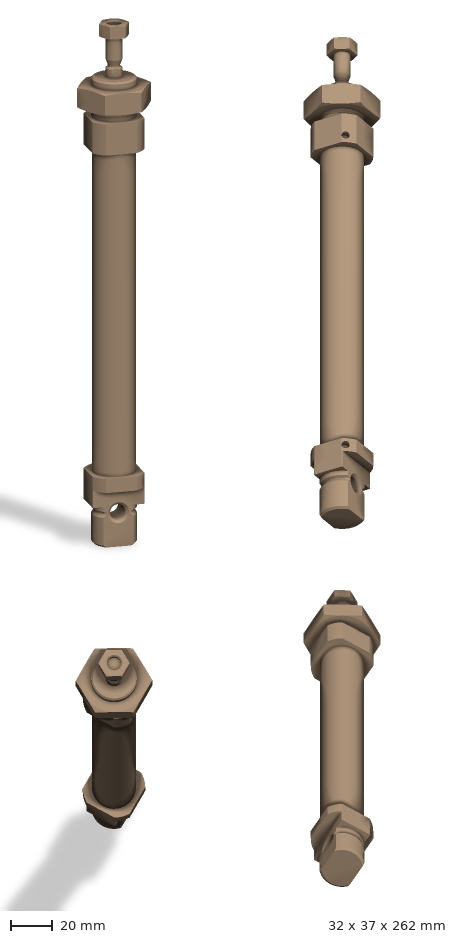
import cadquery as cq
import math

TOP_Z = 262.0
EYE_SHOULDER_Z = 29.0
CAP_TOP_Z = 36.1
HEAD_BOTTOM_Z = 199.3
HEAD_TOP_Z = 215.0
COLLAR_TOP_Z = 235.0

CAP_ACROSS_FLATS = 26.0
CAP_CORNER_DIA = 30.0
CAP_BOTTOM_Z = 20.5
BARREL_DIA = 21.2

THREAD_DIA = 22.0
THREAD_CHAMFER = 0.8
STUB_CHAMFER = 1.0
UNDERCUT_DIA = 20.0
UNDERCUT_FLOOR_HEIGHT = 0.3
UNDERCUT_SHORT_TAPER = 0.3
UNDERCUT_LONG_TAPER = 0.6
STUB_UNDERCUT_Z = 18.0
HEAD_UNDERCUT_Z = 217.7

EYE_THICKNESS = 16.0
EYE_HOLE_DIA = 7.9
EYE_HOLE_Z = 17.0
EYE_HOLE_CHAMFER = 1.3

POCKET_DIA = 4.0
POCKET_DEPTH = 4.0
POCKET_ANGLE = 128.0
HEAD_POCKET_Z = 203.3

MOUNTING_NUT_ACROSS_FLATS = 32.0
MOUNTING_NUT_HEIGHT = 11.0
MOUNTING_NUT_BOTTOM_Z = 220.0

ROD_NUT_ACROSS_FLATS = 13.0
ROD_NUT_HEIGHT = 6.5
ROD_NUT_COUNTERSINK = 0.65

ROD_DIA = 8.0
ROD_FLATS_WIDTH = 7.0
ROD_FLATS_BOTTOM_Z = 236.8
ROD_SHOULDER_Z = 239.5
ROD_NECK_DIA = 6.0
ROD_NECK_BOTTOM_Z = 240.2
ROD_NECK_TOP_Z = 241.0
ROD_THREAD_BOTTOM_Z = 243.9
ROD_TIP_DIA = 6.8
ROD_TIP_RECESS = 2.5

NUT_CHAMFER_ANGLE = math.radians(15)


def cylinder(diameter, bottom, top):
    return cq.Workplane("XY").workplane(offset=bottom).circle(diameter / 2).extrude(top - bottom)


def hex_nut(across_flats, bottom, height, bore):
    """Hexagonal nut with corners on the Y axis, chamfered at both ends."""
    across_corners = across_flats / math.cos(math.pi / 6)
    corner_radius = across_corners / 2
    drop = (corner_radius - across_flats / 2) * math.tan(NUT_CHAMFER_ANGLE)
    prism = (
        cq.Workplane("XY")
        .workplane(offset=bottom)
        .transformed(rotate=(0, 0, 90))
        .polygon(6, across_corners)
        .circle(bore / 2)
        .extrude(height)
    )
    top = bottom + height
    envelope = (
        cq.Workplane("XZ")
        .moveTo(0, bottom)
        .lineTo(across_flats / 2, bottom)
        .lineTo(corner_radius, bottom + drop)
        .lineTo(corner_radius, top - drop)
        .lineTo(across_flats / 2, top)
        .lineTo(0, top)
        .close()
        .revolve(360, (0, 0, 0), (0, 1, 0))
    )
    return prism.intersect(envelope)


def cap_block(bottom, top):
    """Square block whose corners are rounded to one cylinder about the axis."""
    height = top - bottom
    square = (
        cq.Workplane("XY").workplane(offset=bottom).rect(CAP_ACROSS_FLATS, CAP_ACROSS_FLATS).extrude(height)
    )
    return square.intersect(cylinder(CAP_CORNER_DIA, bottom, top))


def undercut(rim, direction):
    """Ring groove in a thread, running from its short taper up (direction 1) or down (-1)."""
    floor_radius = UNDERCUT_DIA / 2
    rim_radius = THREAD_DIA / 2
    floor_start = rim + direction * UNDERCUT_SHORT_TAPER
    floor_end = floor_start + direction * UNDERCUT_FLOOR_HEIGHT
    far_rim = floor_end + direction * UNDERCUT_LONG_TAPER
    return (
        cq.Workplane("XZ")
        .moveTo(rim_radius, rim)
        .lineTo(floor_radius, floor_start)
        .lineTo(floor_radius, floor_end)
        .lineTo(rim_radius, far_rim)
        .close()
        .revolve(360, (0, 0, 0), (0, 1, 0))
    )


def screw_pocket(height):
    """Round cutter entering a cap corner squarely to its rounded surface."""
    angle = math.radians(POCKET_ANGLE)
    outward = cq.Vector(math.cos(angle), math.sin(angle), 0)
    floor = outward * (CAP_CORNER_DIA / 2 - POCKET_DEPTH) + cq.Vector(0, 0, height)
    return cq.Solid.makeCylinder(POCKET_DIA / 2, 2 * POCKET_DEPTH, floor, outward)


def eye_flats():
    """The two side slabs that leave the eye at its thickness."""
    slab_width = (CAP_CORNER_DIA - EYE_THICKNESS) / 2
    offset = (EYE_THICKNESS + slab_width) / 2
    return (
        cq.Workplane("XY")
        .pushPoints([(-offset, 0), (offset, 0)])
        .rect(slab_width, CAP_CORNER_DIA)
        .extrude(EYE_SHOULDER_Z)
    )


def eye_hole():
    """Cross hole along X, countersunk on both faces of the eye."""
    half = EYE_THICKNESS / 2
    radius = EYE_HOLE_DIA / 2
    rim = radius + EYE_HOLE_CHAMFER
    return (
        cq.Workplane("XY")
        .moveTo(-half, 0)
        .lineTo(-half, rim)
        .lineTo(EYE_HOLE_CHAMFER - half, radius)
        .lineTo(half - EYE_HOLE_CHAMFER, radius)
        .lineTo(half, rim)
        .lineTo(half, 0)
        .close()
        .revolve(360, (0, 0, 0), (1, 0, 0))
        .translate((0, 0, EYE_HOLE_Z))
    )


def make_housing():
    stub = cylinder(THREAD_DIA, 0, CAP_BOTTOM_Z).faces("<Z").chamfer(STUB_CHAMFER)
    collar = cylinder(THREAD_DIA, HEAD_TOP_Z, COLLAR_TOP_Z).faces(">Z").chamfer(THREAD_CHAMFER)
    body = cylinder(BARREL_DIA, CAP_TOP_Z, HEAD_BOTTOM_Z)
    body = body.union(stub.cut(undercut(STUB_UNDERCUT_Z, -2.5)))
    body = body.union(collar.cut(undercut(HEAD_UNDERCUT_Z, 2.5)))
    body = body.union(cap_block(CAP_BOTTOM_Z, CAP_TOP_Z)).union(cap_block(HEAD_BOTTOM_Z, HEAD_TOP_Z))
    body = body.cut(eye_flats()).cut(eye_hole())
    for height in ((EYE_SHOULDER_Z + CAP_TOP_Z) / 2, HEAD_POCKET_Z):
        body = body.cut(cq.Workplane(screw_pocket(height)))
    rod_bore = cylinder(ROD_DIA, HEAD_BOTTOM_Z, COLLAR_TOP_Z)
    return body.cut(rod_bore)


def make_rod():
    tip = TOP_Z - ROD_TIP_RECESS
    rod_radius = ROD_DIA / 2
    tip_radius = ROD_TIP_DIA / 2
    neck_radius = ROD_NECK_DIA / 2
    rod = (
        cq.Workplane("XZ")
        .moveTo(0, HEAD_BOTTOM_Z)
        .lineTo(rod_radius, HEAD_BOTTOM_Z)
        .lineTo(rod_radius, ROD_SHOULDER_Z)
        .lineTo(neck_radius, ROD_NECK_BOTTOM_Z)
        .lineTo(neck_radius, ROD_NECK_TOP_Z)
        .lineTo(rod_radius, ROD_THREAD_BOTTOM_Z)
        .lineTo(rod_radius, TOP_Z - ROD_NUT_HEIGHT)
        .lineTo(tip_radius, TOP_Z - ROD_NUT_HEIGHT)
        .lineTo(tip_radius, tip)
        .lineTo(0, tip)
        .close()
        .revolve(360, (0, 0, 0), (0, 1, 0))
    )
    flats = (
        cq.Workplane("XY")
        .workplane(offset=ROD_FLATS_BOTTOM_Z)
        .rect(2 * ROD_DIA, 2 * ROD_DIA)
        .rect(ROD_FLATS_WIDTH, 2 * ROD_DIA)
        .extrude(ROD_NECK_BOTTOM_Z - ROD_FLATS_BOTTOM_Z)
    )
    return rod.cut(flats)


def make_rod_nut():
    nut = hex_nut(ROD_NUT_ACROSS_FLATS, TOP_Z - ROD_NUT_HEIGHT, ROD_NUT_HEIGHT, ROD_TIP_DIA)
    bore_edge = cq.selectors.RadiusNthSelector(0)
    return nut.faces(">Z").edges(bore_edge).chamfer(ROD_NUT_COUNTERSINK)


def make_mounting_nut():
    return hex_nut(MOUNTING_NUT_ACROSS_FLATS, MOUNTING_NUT_BOTTOM_Z, MOUNTING_NUT_HEIGHT, THREAD_DIA)


housing = make_housing()
rod = make_rod()
rod_nut = make_rod_nut()
mounting_nut = make_mounting_nut()

result = cq.Compound.makeCompound([housing.val(), rod.val(), rod_nut.val(), mounting_nut.val()])